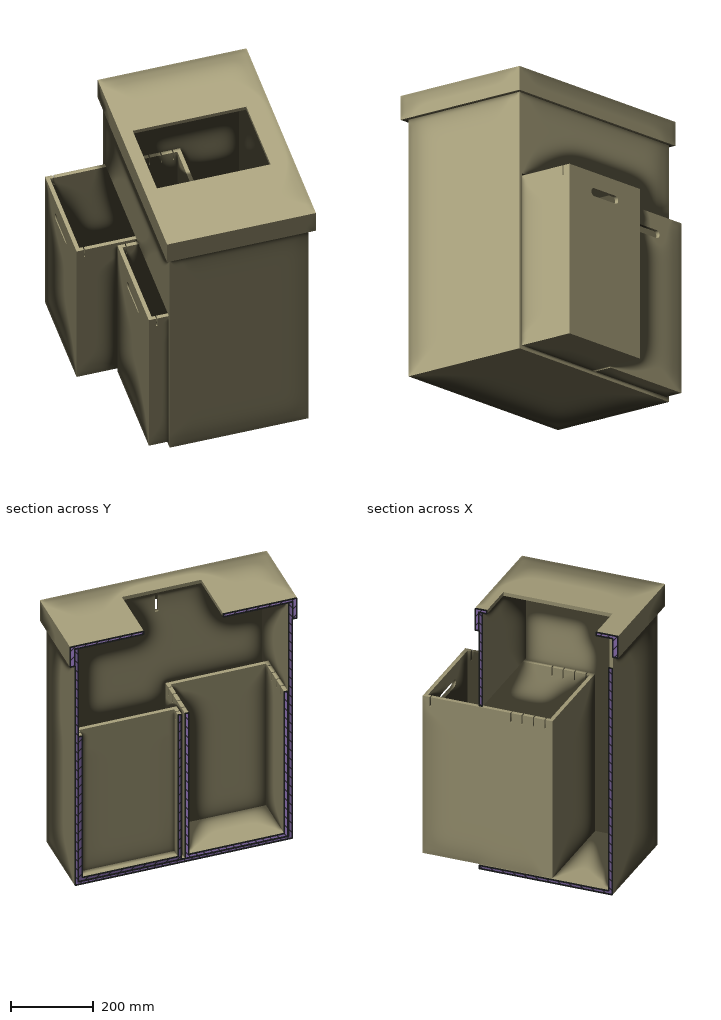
import cadquery as cq


BOARD = 10.0

TOTAL_HEIGHT = 710.0
WORKTOP_WIDTH = 585.0
WORKTOP_DEPTH = 375.0
WORKTOP_HEIGHT = 60.0
SIDE_OVERHANG = 12.0
FRONT_OVERHANG = 10.0
BACK_OVERHANG = 15.0

SINK_WIDTH = 204.5
SINK_DEPTH = 286.0
SINK_FRONT_MARGIN = 31.0

CABINET_WIDTH = WORKTOP_WIDTH - 2 * SIDE_OVERHANG
CABINET_DEPTH = WORKTOP_DEPTH - FRONT_OVERHANG - BACK_OVERHANG
CABINET_HEIGHT = TOTAL_HEIGHT - BOARD
INNER_WIDTH = CABINET_WIDTH - 2 * BOARD
SKIRT_BOTTOM = TOTAL_HEIGHT - WORKTOP_HEIGHT

NOTCH_WIDTH = 8.5
NOTCH_DEPTH = 80.0

DRAWER_WIDTH = 265.5
DRAWER_DEPTH = CABINET_DEPTH - BOARD
DRAWER_HEIGHT = 429.5
DRAWER_GAP = 8.5
TOP_CLEARANCE = 6.0
LEFT_DRAWER_PULL = 149.0
RIGHT_DRAWER_PULL = 49.0

HANDLE_LENGTH = 100.0
HANDLE_HEIGHT = 20.0
HANDLE_DROP = 50.0

SLOT_WIDTH = 3.0
SLOT_DEPTH = 25.0
SLOT_END_DISTANCE = 20.0
SLOT_PITCH = 30.0
REAR_SLOT_COUNT = 4


def block(x, y, z, width, depth, height):
    """A box with its left, front, bottom corner at (x, y, z)."""
    return cq.Workplane("XY").box(width, depth, height, centered=False).translate((x, y, z))


def make_worktop():
    """A thin plate with a sink opening and a skirt that surrounds the cabinet top."""
    outer = block(
        -WORKTOP_WIDTH / 2, -FRONT_OVERHANG, SKIRT_BOTTOM,
        WORKTOP_WIDTH, WORKTOP_DEPTH, WORKTOP_HEIGHT,
    )
    underside_recess = block(
        -CABINET_WIDTH / 2, 0, SKIRT_BOTTOM,
        CABINET_WIDTH, CABINET_DEPTH, WORKTOP_HEIGHT - BOARD,
    )
    sink_opening = block(
        -SINK_WIDTH / 2, SINK_FRONT_MARGIN - FRONT_OVERHANG, SKIRT_BOTTOM,
        SINK_WIDTH, SINK_DEPTH, WORKTOP_HEIGHT,
    )
    return outer.cut(underside_recess).cut(sink_opening)


def make_cabinet():
    """An open-topped box with one wide drawer opening and a narrow notch in its back board."""
    outer = block(-CABINET_WIDTH / 2, 0, 0, CABINET_WIDTH, CABINET_DEPTH, CABINET_HEIGHT)
    interior = block(-INNER_WIDTH / 2, BOARD, BOARD, INNER_WIDTH, CABINET_DEPTH - 2 * BOARD, CABINET_HEIGHT)
    drawer_opening = block(-INNER_WIDTH / 2, 0, BOARD, INNER_WIDTH, BOARD, DRAWER_HEIGHT + TOP_CLEARANCE)
    back_notch = block(
        -NOTCH_WIDTH / 2, CABINET_DEPTH - BOARD, CABINET_HEIGHT - NOTCH_DEPTH,
        NOTCH_WIDTH, BOARD, NOTCH_DEPTH,
    )
    return outer.cut(interior).cut(drawer_opening).cut(back_notch)


def make_drawer(left_x, pull):
    """An open-topped drawer, pulled out of the cabinet by the given distance."""
    outer = block(0, 0, 0, DRAWER_WIDTH, DRAWER_DEPTH, DRAWER_HEIGHT)
    interior = block(
        BOARD, BOARD, BOARD, DRAWER_WIDTH - 2 * BOARD, DRAWER_DEPTH - 2 * BOARD, DRAWER_HEIGHT
    )
    drawer = outer.cut(interior)

    handle = (
        cq.Workplane("XZ")
        .center(DRAWER_WIDTH / 2, DRAWER_HEIGHT - HANDLE_DROP)
        .slot2D(HANDLE_LENGTH, HANDLE_HEIGHT)
        .extrude(-BOARD)
    )
    drawer = drawer.cut(handle)

    rear_slots = [DRAWER_DEPTH - SLOT_END_DISTANCE - i * SLOT_PITCH for i in range(REAR_SLOT_COUNT)]
    for slot_y in [SLOT_END_DISTANCE, *rear_slots]:
        slot = block(
            0, slot_y - SLOT_WIDTH / 2, DRAWER_HEIGHT - SLOT_DEPTH, DRAWER_WIDTH, SLOT_WIDTH, SLOT_DEPTH
        )
        drawer = drawer.cut(slot)

    return drawer.translate((left_x, -pull, BOARD))


worktop = make_worktop()
cabinet = make_cabinet()

left_drawer_x = -INNER_WIDTH / 2
right_drawer_x = left_drawer_x + DRAWER_WIDTH + DRAWER_GAP
drawers = [
    make_drawer(left_x, pull)
    for left_x, pull in [(left_drawer_x, LEFT_DRAWER_PULL), (right_drawer_x, RIGHT_DRAWER_PULL)]
]

result = cq.Compound.makeCompound([worktop.val(), cabinet.val(), *[drawer.val() for drawer in drawers]])